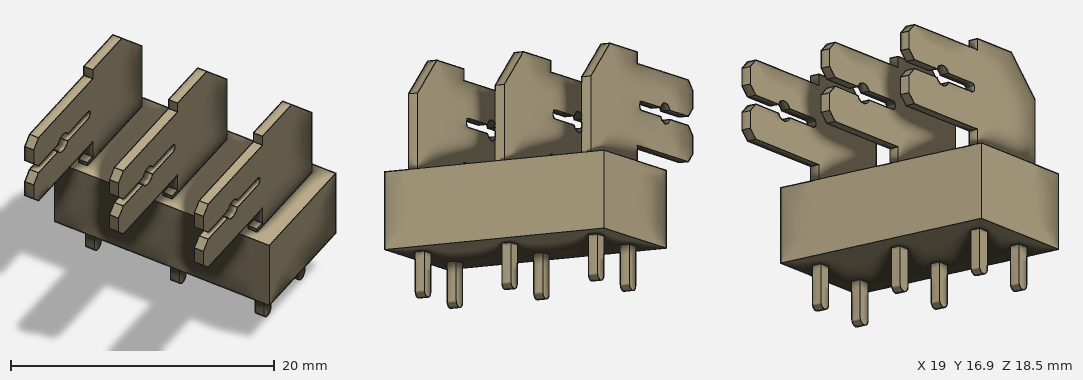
import cadquery as cq

HOUSING_LENGTH = 19.0
HOUSING_DEPTH = 9.8
HOUSING_HEIGHT = 6.0

TERMINAL_COUNT = 3
TERMINAL_PITCH = 7.5
SHEET_THICKNESS = 0.8

BASE_LENGTH = 8.1
BODY_HEIGHT = 9.0
BODY_CHAMFER = 3.0
FOOT_LENGTH = 0.8
FOOT_HEIGHT = 0.3

TAB_LENGTH = 8.7
TAB_HEIGHT = 6.3
TAB_DROP = 0.9
PRONG_CHAMFER = 0.7
SLOT_WIDTH = 0.7
SLOT_LENGTH = 8.35
DETENT_DIAMETER = 1.6
DETENT_FROM_TIP = 4.31

PIN_WIDTH = 1.0
PIN_SPACING = 5.0
PIN_PROTRUSION = 3.5

BODY_REAR = BASE_LENGTH / 2
FOOT_FRONT = -BASE_LENGTH / 2
BODY_FRONT = FOOT_FRONT + FOOT_LENGTH
BODY_TOP = HOUSING_HEIGHT + BODY_HEIGHT
TAB_TIP = BODY_FRONT - TAB_LENGTH
TAB_TOP = BODY_TOP - TAB_DROP
TAB_BOTTOM = TAB_TOP - TAB_HEIGHT
TAB_MIDDLE = (TAB_TOP + TAB_BOTTOM) / 2
PRONG_HEIGHT = (TAB_HEIGHT - SLOT_WIDTH) / 2
TERMINAL_XS = [(i - (TERMINAL_COUNT - 1) / 2) * TERMINAL_PITCH for i in range(TERMINAL_COUNT)]
PIN_YS = [-PIN_SPACING / 2, PIN_SPACING / 2]


def sheet(outline):
    """Extrude a closed YZ outline to the sheet thickness, centred on x = 0."""
    return outline.extrude(SHEET_THICKNESS / 2, both=True)


def terminal_body():
    """Upright plate with a chamfered rear corner and a low foot at the front."""
    outline = (
        cq.Workplane("YZ")
        .moveTo(BODY_REAR, HOUSING_HEIGHT)
        .lineTo(BODY_REAR, BODY_TOP - BODY_CHAMFER)
        .lineTo(BODY_REAR - BODY_CHAMFER, BODY_TOP)
        .lineTo(BODY_FRONT, BODY_TOP)
        .lineTo(BODY_FRONT, HOUSING_HEIGHT + FOOT_HEIGHT)
        .lineTo(FOOT_FRONT, HOUSING_HEIGHT + FOOT_HEIGHT)
        .lineTo(FOOT_FRONT, HOUSING_HEIGHT)
        .close()
    )
    return sheet(outline)


def prong(bottom):
    """One half of the fork, with both corners of its tip chamfered."""
    top = bottom + PRONG_HEIGHT
    outline = (
        cq.Workplane("YZ")
        .moveTo(BODY_FRONT, bottom)
        .lineTo(TAB_TIP + PRONG_CHAMFER, bottom)
        .lineTo(TAB_TIP, bottom + PRONG_CHAMFER)
        .lineTo(TAB_TIP, top - PRONG_CHAMFER)
        .lineTo(TAB_TIP + PRONG_CHAMFER, top)
        .lineTo(BODY_FRONT, top)
        .close()
    )
    return sheet(outline)


def forked_tab():
    """Two prongs joined by a web behind the round slot end, with a detent hole across the slot."""
    slot_end_center = TAB_TIP + SLOT_LENGTH - SLOT_WIDTH / 2
    web_length = BODY_FRONT - slot_end_center
    web = sheet(
        cq.Workplane("YZ").center(BODY_FRONT - web_length / 2, TAB_MIDDLE).rect(web_length, SLOT_WIDTH)
    )
    slot_end = sheet(cq.Workplane("YZ").center(slot_end_center, TAB_MIDDLE).circle(SLOT_WIDTH / 2))
    detent = sheet(
        cq.Workplane("YZ").center(TAB_TIP + DETENT_FROM_TIP, TAB_MIDDLE).circle(DETENT_DIAMETER / 2)
    )
    tab = prong(TAB_BOTTOM).union(prong(TAB_TOP - PRONG_HEIGHT)).union(web)
    return tab.cut(slot_end).cut(detent)


def solder_pin(y):
    """Flat pin through the housing with a fully rounded lower end."""
    radius = PIN_WIDTH / 2
    outline = (
        cq.Workplane("YZ")
        .moveTo(y - radius, HOUSING_HEIGHT)
        .lineTo(y - radius, radius - PIN_PROTRUSION)
        .threePointArc((y, -PIN_PROTRUSION), (y + radius, radius - PIN_PROTRUSION))
        .lineTo(y + radius, HOUSING_HEIGHT)
        .close()
    )
    return sheet(outline)


def make_terminal(x):
    """Complete one-piece terminal: body, forked tab and two solder pins."""
    terminal = terminal_body().union(forked_tab())
    for y in PIN_YS:
        terminal = terminal.union(solder_pin(y))
    return terminal.translate((x, 0, 0)).solids().val()


def make_housing():
    """Block with a matching rectangular through slot for every solder pin."""
    block = cq.Workplane("XY").rect(HOUSING_LENGTH, HOUSING_DEPTH).extrude(HOUSING_HEIGHT)
    pin_slots = (
        cq.Workplane("XY")
        .pushPoints([(x, y) for x in TERMINAL_XS for y in PIN_YS])
        .rect(SHEET_THICKNESS, PIN_WIDTH)
        .extrude(HOUSING_HEIGHT)
    )
    return block.cut(pin_slots).solids().val()


housing = make_housing()
terminals = [make_terminal(x) for x in TERMINAL_XS]

result = cq.Compound.makeCompound([housing, *terminals])